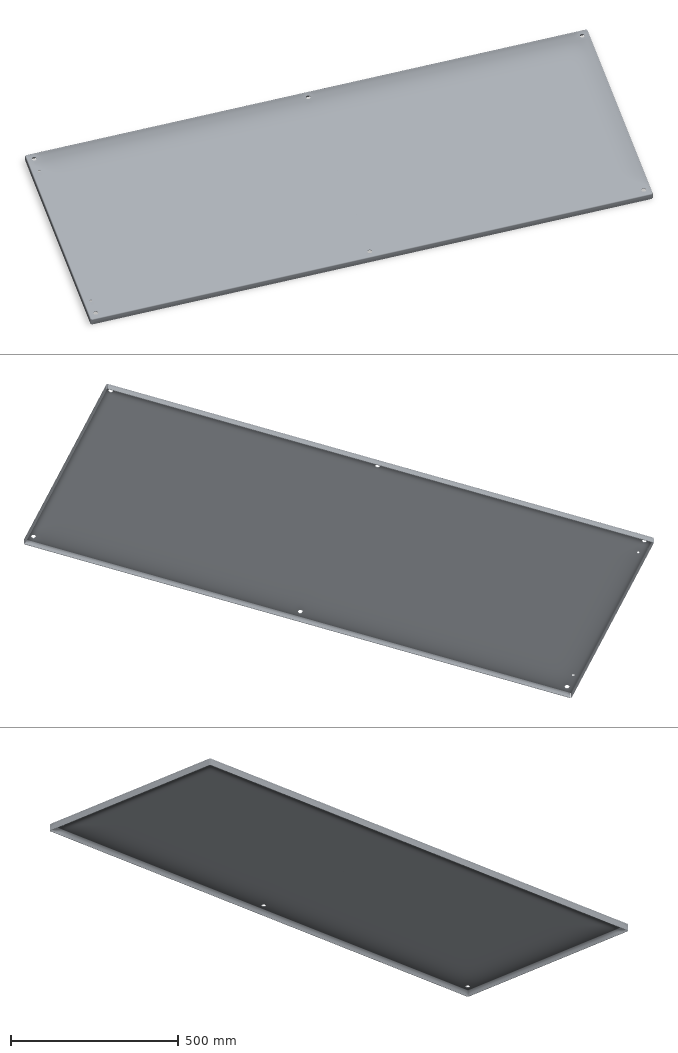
import cadquery as cq

WIDTH = 685.8
LENGTH = 1752.6
HEIGHT = 22.23
SHEET = 2.28
OUTER_BEND_RADIUS = 3.1
INNER_BEND_RADIUS = OUTER_BEND_RADIUS - SHEET

CORNER_NOTCH = 2.66

MOUNT_DIAMETER = 14.3
MOUNT_INSET = 22.23
MOUNT_X = WIDTH / 2 - MOUNT_INSET
MOUNT_Y = LENGTH / 2 - MOUNT_INSET

SMALL_DIAMETER = 7.92
SMALL_SIDE_INSET = 73.03
SMALL_X = WIDTH / 2 - SMALL_SIDE_INSET


def rounded_slab(width, length, height, top_radius):
    """Slab centred in X and Y, resting on Z = 0, with its top edge rounded."""
    slab = cq.Workplane("XY").box(width, length, height, centered=(True, True, False))
    return slab.faces(">Z").edges().fillet(top_radius)


def make_tray():
    """Thin tray, open at the bottom, with the same thickness in face and flanges."""
    outside = rounded_slab(WIDTH, LENGTH, HEIGHT, OUTER_BEND_RADIUS)
    inside = rounded_slab(WIDTH - 2 * SHEET, LENGTH - 2 * SHEET, HEIGHT - SHEET, INNER_BEND_RADIUS)
    return outside.cut(inside)


def notch_corners(body):
    """Remove a square of the sheet over the full height at each corner."""
    corners = cq.Workplane("XY").rect(WIDTH, LENGTH, forConstruction=True).vertices()
    notches = corners.rect(2 * CORNER_NOTCH, 2 * CORNER_NOTCH).extrude(HEIGHT)
    return body.cut(notches)


def drill(body, points, diameter):
    """Drill plain through holes at the given XY points."""
    drills = cq.Workplane("XY").pushPoints(points).circle(diameter / 2).extrude(HEIGHT)
    return body.cut(drills)


mount_points = [(x, y) for x in (-MOUNT_X, MOUNT_X) for y in (-MOUNT_Y, 0, MOUNT_Y)]
small_points = [(x, -MOUNT_Y) for x in (-SMALL_X, SMALL_X)]

panel = notch_corners(make_tray())
panel = drill(panel, mount_points, MOUNT_DIAMETER)
result = drill(panel, small_points, SMALL_DIAMETER)